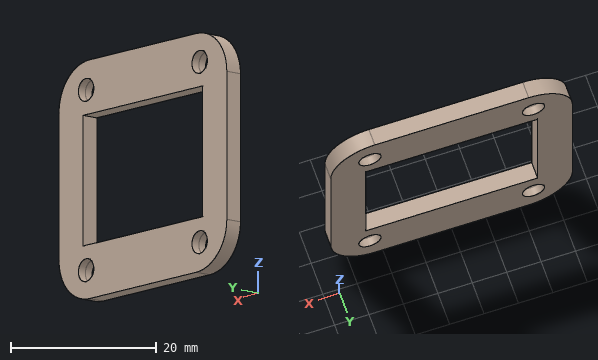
import cadquery as cq

plate_width = 35.15
plate_height = 33.65
plate_thickness = 2.53
corner_radius = 6.4

window_width = 24.95
window_height = 18.4

hole_diameter = 3.2
hole_spacing_x = 23.77
hole_spacing_z = 25.4

plate = (
    cq.Workplane("XZ")
    .rect(plate_width, plate_height)
    .extrude(plate_thickness / 2, both=True)
    .edges("|Y")
    .fillet(corner_radius)
)

window = (
    cq.Workplane("XZ")
    .rect(window_width, window_height)
    .extrude(plate_thickness, both=True)
)

mounting_holes = (
    cq.Workplane("XZ")
    .rect(hole_spacing_x, hole_spacing_z, forConstruction=True)
    .vertices()
    .circle(hole_diameter / 2)
    .extrude(plate_thickness, both=True)
)

result = plate.cut(window).cut(mounting_holes)